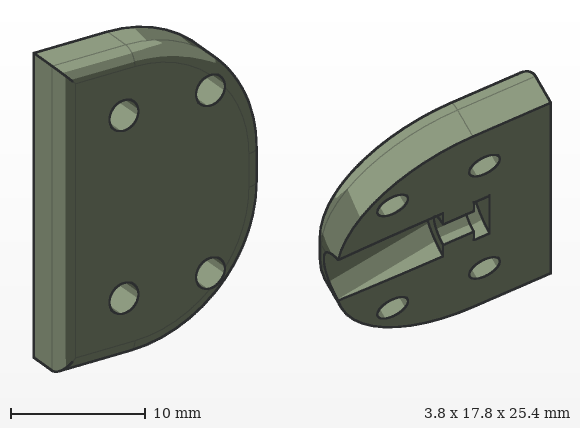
import cadquery as cq
import math

height = 25.4
depth = 17.78
thickness = 3.8
straight_length = 6.48
edge_radius = 1.27
corner_radius = depth - straight_length

hole_diameter = 2.55
hole_spacing_z = 15.25
hole_rows_y = (5.5, 13.13)

slot_start = 5.08
slot_end = 6.4
barrel_start = 8.95
slot_radius = 2.8
neck_radius = 1.52
barrel_radius = 3.2
barrel_tilt = 7.0


def make_plate():
    """Plate with two rounded corners and a short flat on +Y, its +X rim filleted all round."""
    plate = (
        cq.Workplane("YZ")
        .rect(depth, height)
        .extrude(thickness)
        .translate((0, depth / 2, 0))
        .edges("|X and >Y")
        .fillet(corner_radius)
    )
    return plate.faces(">X").edges().fillet(edge_radius)


def make_holes():
    """Screw holes through the whole thickness."""
    places = [(y, side * hole_spacing_z / 2) for y in hole_rows_y for side in (-1, 1)]
    return cq.Workplane("YZ").pushPoints(places).circle(hole_diameter / 2).extrude(thickness)


def make_cylinder(radius, start, end):
    """Cylinder on the Y axis between two Y positions."""
    return cq.Workplane("XZ").circle(radius).extrude(start - end).translate((0, start, 0))


def make_barrel():
    """Tilted cylinder whose axis meets the mounting face at the barrel's inner end.

    The inner end stays square to Y; the outer end runs past the plate's rim.
    """
    overrun = 2 * barrel_radius
    cylinder = make_cylinder(barrel_radius, barrel_start - overrun, depth + overrun)
    tilted = cylinder.rotate((0, barrel_start, 0), (0, barrel_start, 1), barrel_tilt)
    keep_half_width = 2 * barrel_radius
    keep_length = depth - barrel_start + overrun
    keep = (
        cq.Workplane("XY")
        .box(2 * keep_half_width, keep_length, 2 * keep_half_width)
        .translate((0, barrel_start + keep_length / 2, 0))
    )
    return tilted.intersect(keep)


result = (
    make_plate()
    .cut(make_holes())
    .cut(make_cylinder(slot_radius, slot_start, slot_end))
    .cut(make_cylinder(neck_radius, slot_end, barrel_start))
    .cut(make_barrel())
)